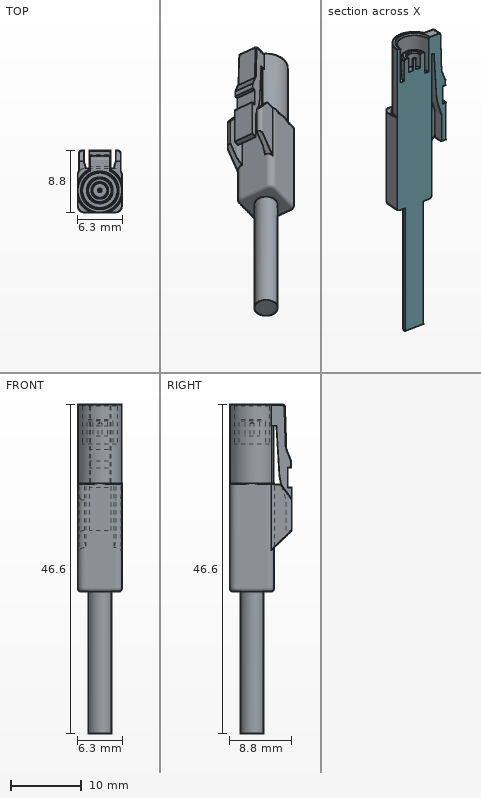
import cadquery as cq

total_length = 46.6
housing_bottom = 20.1
housing_top = 35.28

housing_width = 6.3
housing_half = housing_width / 2
housing_corner_radius = 1.0
housing_bottom_radius = 0.5
cable_diameter = 3.3

sleeve_radius = 3.1
sleeve_base_chamfer = 0.2
bore_radius = 2.45
bore_depth = 5.6
bore_chamfer = 0.25
bore_floor = total_length - bore_depth

post_radius = 1.85
post_chamfer = 0.25
post_top = total_length - 2.1
socket_radius = 1.03
socket_chamfer = 0.2
socket_depth = 2.35
pin_radius = 0.3
pin_chamfer = 0.15
pin_height = 1.85
socket_floor = post_top - socket_depth

overall_depth = 8.8
latch_reach = overall_depth - housing_half
wing_outer_x = 3.0
wing_inner_x = 2.25
wing_root_x = 1.95
wing_edge_radius = 0.5
wing_slope_start = 4.1
wing_slope_end = 33.1
wing_tail_start = 28.75
wing_tail_slope = 0.95
wing_root_y = 2.35

arm_width = 3.05
arm_top_y = 4.7
arm_top_radius = 0.4
arm_side_chamfer = 0.15
arm_root_y = 1.85
slot_top = 43.55
slot_outer_y = 3.45
slot_bend_y = 3.85
slot_bend_z = 36.6
ramp_start_y = 4.9
ramp_start_z = 40.25
tooth_y = 5.55
tooth_top = 38.6
tooth_bottom = 37.65
notch_y = 5.1
foot_top = 34.85
foot_inner_y = 4.8

rib_width = arm_width - 2 * arm_side_chamfer


def vertical_cylinder(radius, bottom, top):
    return cq.Workplane("XY").workplane(offset=bottom).circle(radius).extrude(top - bottom)


def vertical_cone(bottom_radius, top_radius, bottom, top):
    return cq.Workplane(cq.Solid.makeCone(bottom_radius, top_radius, top - bottom, cq.Vector(0, 0, bottom)))


def side_prism(profile, half_width):
    """Extrude a closed YZ outline equally to both sides of the X = 0 plane."""
    return profile.close().extrude(half_width, both=True)


def make_housing():
    height = housing_top - housing_bottom
    block = cq.Workplane("XY").workplane(offset=housing_bottom).rect(housing_width, housing_width)
    block = block.extrude(height).edges("|Z").fillet(housing_corner_radius)
    return block.faces("<Z").edges().fillet(housing_bottom_radius)


def make_sleeve():
    sleeve = vertical_cylinder(sleeve_radius, housing_top, total_length)
    base_radius = sleeve_radius + sleeve_base_chamfer
    base = vertical_cone(base_radius, sleeve_radius, housing_top, housing_top + sleeve_base_chamfer)
    footprint = cq.Workplane("XY").box(housing_width, housing_width, 2 * total_length)
    return sleeve.union(base.intersect(footprint))


def make_wings():
    tail_end = wing_tail_start - wing_tail_slope * (latch_reach - wing_root_y)
    side = side_prism(
        cq.Workplane("YZ")
        .moveTo(wing_root_y, housing_top)
        .lineTo(wing_slope_start, housing_top)
        .lineTo(latch_reach, wing_slope_end)
        .lineTo(latch_reach, wing_tail_start)
        .lineTo(wing_root_y, tail_end),
        wing_outer_x,
    )
    section = (
        cq.Workplane("XY")
        .moveTo(wing_root_x, wing_root_y)
        .lineTo(wing_root_x, housing_half)
        .lineTo(wing_inner_x, wing_slope_start)
        .lineTo(wing_inner_x, latch_reach)
        .lineTo(wing_outer_x - wing_edge_radius, latch_reach)
        .radiusArc((wing_outer_x, latch_reach - wing_edge_radius), wing_edge_radius)
        .lineTo(wing_outer_x, wing_root_y)
        .close()
        .extrude(total_length)
    )
    wing = side.intersect(section)
    return wing.union(wing.mirror("YZ"))


def make_latch():
    arm = side_prism(
        cq.Workplane("YZ")
        .moveTo(arm_root_y, total_length)
        .lineTo(arm_top_y - arm_top_radius, total_length)
        .radiusArc((arm_top_y, total_length - arm_top_radius), arm_top_radius)
        .lineTo(ramp_start_y, ramp_start_z)
        .lineTo(tooth_y, tooth_top)
        .lineTo(tooth_y, tooth_bottom)
        .lineTo(notch_y, tooth_bottom)
        .lineTo(notch_y, foot_top)
        .lineTo(latch_reach, foot_top)
        .lineTo(latch_reach, wing_tail_start)
        .lineTo(foot_inner_y, wing_tail_start)
        .lineTo(foot_inner_y, wing_slope_end)
        .lineTo(wing_slope_start, housing_top)
        .lineTo(slot_bend_y, slot_bend_z)
        .lineTo(slot_outer_y, slot_top)
        .lineTo(arm_root_y, slot_top),
        arm_width / 2,
    )
    return arm.faces(">Z").edges("|Y").chamfer(arm_side_chamfer)


def make_rib():
    base = cq.Workplane("XY").workplane(offset=housing_top)
    outline = base.moveTo(0, (arm_root_y + sleeve_radius) / 2).rect(rib_width, sleeve_radius - arm_root_y)
    return outline.extrude(slot_top - housing_top)


def make_bore():
    bore = vertical_cylinder(bore_radius, bore_floor, total_length)
    mouth_radius = bore_radius + bore_chamfer
    return bore.union(vertical_cone(bore_radius, mouth_radius, total_length - bore_chamfer, total_length))


def make_contact():
    post = vertical_cylinder(post_radius, bore_floor, post_top).faces(">Z").chamfer(post_chamfer)
    socket = vertical_cylinder(socket_radius, socket_floor, post_top)
    mouth_radius = socket_radius + socket_chamfer
    socket_mouth = vertical_cone(socket_radius, mouth_radius, post_top - socket_chamfer, post_top)
    pin = vertical_cylinder(pin_radius, socket_floor, socket_floor + pin_height)
    pin = pin.faces(">Z").chamfer(pin_chamfer)
    return post.cut(socket).cut(socket_mouth).union(pin)


cable = vertical_cylinder(cable_diameter / 2, 0, housing_bottom)
result = make_housing().union(cable)
result = result.union(make_sleeve()).union(make_rib()).union(make_wings()).union(make_latch())
result = result.cut(make_bore()).union(make_contact())